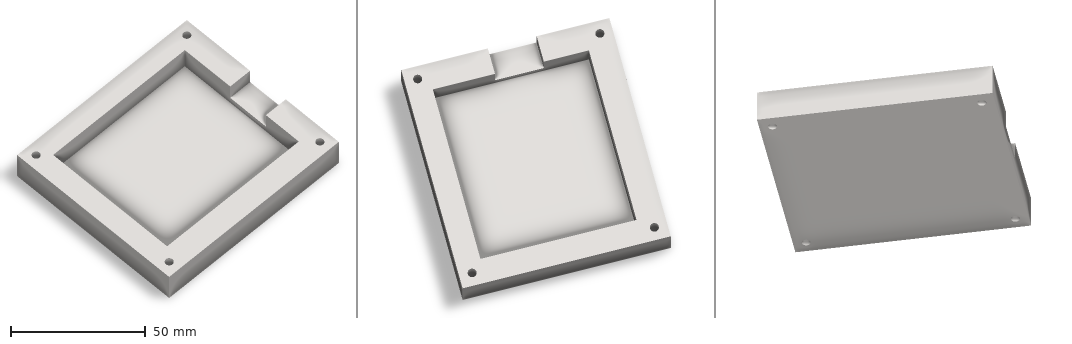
import cadquery as cq

width = 80.0
length = 89.0
height = 13.0

pocket_width = 60.0
pocket_length = 69.1
pocket_center_x = -0.6
pocket_center_y = -0.45
pocket_depth = 10.0

notch_width = 18.8
notch_center_x = 2.7
notch_depth = 7.0

hole_diameter = 3.4
hole_spacing_x = 70.0
hole_spacing_y = 79.0

body = cq.Workplane("XY").box(width, length, height, centered=(True, True, False))

top_plane = cq.Workplane("XY").workplane(offset=height)

pocket = (
    top_plane.center(pocket_center_x, pocket_center_y)
    .rect(pocket_width, pocket_length)
    .extrude(-pocket_depth)
)

pocket_back_y = pocket_center_y + pocket_length / 2
notch_length = length / 2 - pocket_back_y
notch = (
    top_plane.center(notch_center_x, pocket_back_y + notch_length / 2)
    .rect(notch_width, notch_length)
    .extrude(-notch_depth)
)

screw_holes = (
    top_plane.rect(hole_spacing_x, hole_spacing_y, forConstruction=True)
    .vertices()
    .circle(hole_diameter / 2)
    .extrude(-height)
)

result = body.cut(pocket).cut(notch).cut(screw_holes)